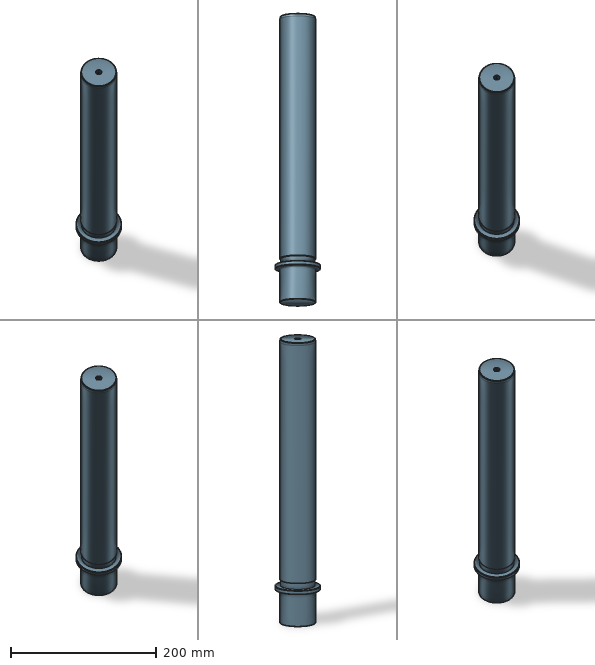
import cadquery as cq

total_length = 402.0
shaft_diameter = 50.0

collar_diameter = 63.0
collar_bottom = 47.0
collar_thickness = 6.0
collar_chamfer = 1.0
collar_root_radius = 1.0

undercut_diameter = 48.0
undercut_length = 8.0
undercut_chamfer = 1.0

lower_chamfer = 1.0
lead_in_length = 4.0
lead_in_depth = 0.5
upper_chamfer = 1.0

hole_diameter = 6.8
hole_depth = 20.0
countersink_diameter = 8.5
countersink_angle = 90.0

shaft_radius = shaft_diameter / 2
lead_in_radius = shaft_radius - lead_in_depth
collar_radius = collar_diameter / 2
undercut_radius = undercut_diameter / 2
collar_top = collar_bottom + collar_thickness
undercut_top = collar_top + undercut_length


def turned_body():
    """Revolve the half outline (radius, height) of the shaft about Z."""
    outline = (
        cq.Workplane("XZ")
        .lineTo(shaft_radius - lower_chamfer, 0)
        .lineTo(shaft_radius, lower_chamfer)
        .lineTo(shaft_radius, collar_bottom - collar_root_radius)
        .radiusArc((shaft_radius + collar_root_radius, collar_bottom), collar_root_radius)
        .lineTo(collar_radius - collar_chamfer, collar_bottom)
        .lineTo(collar_radius, collar_bottom + collar_chamfer)
        .lineTo(collar_radius, collar_top - collar_chamfer)
        .lineTo(collar_radius - collar_chamfer, collar_top)
        .lineTo(undercut_radius, collar_top)
        .lineTo(undercut_radius, undercut_top)
        .lineTo(shaft_radius, undercut_top + undercut_chamfer)
        .lineTo(shaft_radius, total_length - lead_in_length)
        .lineTo(lead_in_radius, total_length - upper_chamfer)
        .lineTo(lead_in_radius - upper_chamfer, total_length)
        .lineTo(0, total_length)
        .close()
    )
    return outline.revolve(360, (0, 0), (0, 1))


def add_centre_hole(body):
    """Sink the countersunk blind hole into the upper end face."""
    return (
        body.faces(">Z")
        .workplane(origin=(0, 0, total_length))
        .cskHole(hole_diameter, countersink_diameter, countersink_angle, hole_depth)
    )


result = add_centre_hole(turned_body())